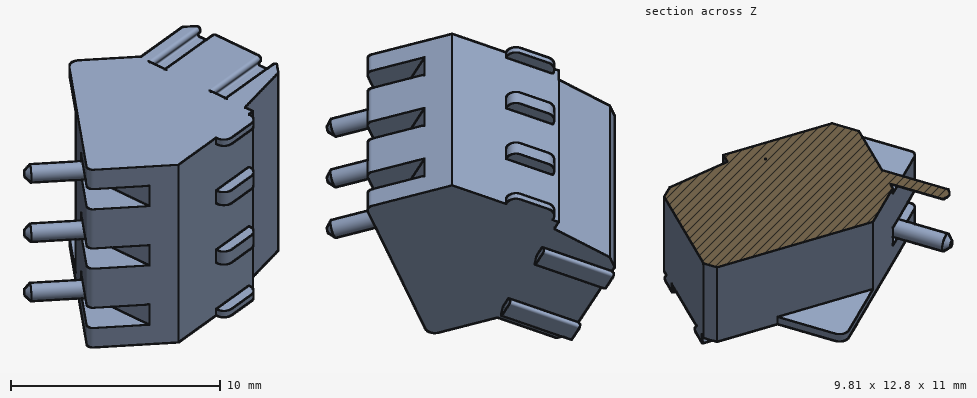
import cadquery as cq
import math


pitch = 3.5
pin_count = 3
height = 10.5
back_y = 3.71
nose_chamfer = 0.5
nose_right_x = 5.93
nose_root_x = 6.48
right_x = 6.98
left_rise_y = 0.08
front_sum = -4.88
right_slope = 12.62
flange_radius = 0.5
front_radius = 0.31
flange_thickness = 0.5
cutter_size = 25.66

rib_out = 0.56
rib_width = 0.77
rib_back_y = -0.32
rib_front_y = -2.8
rib_radius = 0.5

slot_height = 1.19
slot_left_x = 1.76
slot_right_x = 6.07
slot_floor_y = front_sum - slot_left_x
pin_diameter = 0.9
pin_tip_diameter = 0.31
pin_axis_offset = 9.22
pin_end_sum = -8.8
pin_embed = 0.51

key_centres_x = (1.08, 4.82)
key_height = 0.5
key_root_half = 0.32
key_radius = 0.13
groove_depth = 0.56
groove_mouth_half = 0.55
groove_lip_radius = 0.18
groove_radius = 0.08
dovetail_angle = math.radians(30)

half_pitch = pitch / 2
pin_heights = [half_pitch + i * pitch for i in range(pin_count)]


def make_housing():
    """Prism with a chamfered nose, whose left corner remains only as two flanges."""
    flange_corner = ((front_sum - left_rise_y) / 2, (front_sum + left_rise_y) / 2)
    front_corner = ((front_sum + right_slope) / 2, (front_sum - right_slope) / 2)
    outline = [
        (0, left_rise_y),
        (0, back_y - nose_chamfer),
        (nose_chamfer, back_y),
        (nose_right_x - nose_chamfer, back_y),
        (nose_right_x, back_y - nose_chamfer),
        (nose_root_x, 0),
        (right_x, 0),
        (right_x, right_x - right_slope),
        front_corner,
        flange_corner,
    ]
    body = cq.Workplane("XY").polyline(outline).close().extrude(height)
    mid_z = height / 2
    body = body.edges(cq.selectors.NearestToPointSelector((*flange_corner, mid_z))).fillet(flange_radius)
    body = body.edges(cq.selectors.NearestToPointSelector((*front_corner, mid_z))).fillet(front_radius)
    gap = cq.Workplane("XY").box(
        cutter_size, cutter_size, height - 2 * flange_thickness, centered=(False, True, False)
    )
    return body.cut(gap.translate((-cutter_size, 0, flange_thickness)))


def make_rib(low_z, high_z):
    """Rounded rib centred on the right wall plane, so that its inner half sits in the housing."""
    rib = cq.Workplane("XY").box(
        2 * rib_out, rib_back_y - rib_front_y, high_z - low_z, centered=(True, False, False)
    )
    rib = rib.edges("|Z and >X").fillet(rib_radius)
    return rib.translate((right_x, rib_front_y, low_z))


def make_slot(z):
    """Cutter for a slot that opens toward -Y, ending on a flat floor around the pin."""
    slot = cq.Workplane("XY").box(
        slot_right_x - slot_left_x, cutter_size, slot_height, centered=(False, False, True)
    )
    return slot.translate((slot_left_x, slot_floor_y - cutter_size, z))


def make_pin(z):
    """Round pin with a conical tip, at 45 degrees to X and Y and rooted in the slot floor."""
    radius = pin_diameter / 2
    tip_radius = pin_tip_diameter / 2
    cone = radius - tip_radius
    end_x = (pin_end_sum + pin_axis_offset) / 2
    end_y = (pin_end_sum - pin_axis_offset) / 2
    length = (slot_floor_y - end_y) * math.sqrt(2) + pin_embed
    profile = [(0, 0), (tip_radius, 0), (radius, cone), (radius, length), (0, length)]
    plane = cq.Plane(origin=(end_x, end_y, z), xDir=(1, -1, 0), normal=(0, 0, 1))
    return cq.Workplane(plane).polyline(profile).close().revolve(360, (0, 0), (0, 1))


def make_key(centre_x):
    """Dovetail bar hanging below the nose."""
    tip_half = key_root_half + key_height * math.tan(dovetail_angle)
    outline = [
        (-key_root_half, 0),
        (key_root_half, 0),
        (tip_half, -key_height),
        (-tip_half, -key_height),
    ]
    key = cq.Workplane("XZ").polyline(outline).close().extrude(-back_y)
    return key.edges("|Y and <Z").fillet(key_radius).translate((centre_x, 0, 0))


def make_groove(centre_x):
    """Cutter for a dovetail groove in the top of the nose, with rounded lips at its mouth."""
    lip_r = groove_lip_radius

    def lip_point(angle):
        x = groove_mouth_half - lip_r * math.cos(angle)
        z = -lip_r - lip_r * math.sin(angle)
        return x, z

    def mirror(point):
        return -point[0], point[1]

    mouth = (groove_mouth_half, 0)
    neck = lip_point(0)
    lip_end = lip_point(dovetail_angle)
    floor_half = lip_end[0] + (groove_depth + lip_end[1]) * math.tan(dovetail_angle)
    floor_corner = (floor_half, -groove_depth)
    groove = (
        cq.Workplane("XZ")
        .moveTo(*mouth)
        .threePointArc(neck, lip_end)
        .lineTo(*floor_corner)
        .lineTo(*mirror(floor_corner))
        .lineTo(*mirror(lip_end))
        .threePointArc(mirror(neck), mirror(mouth))
        .close()
        .extrude(-back_y)
    )
    return groove.edges("|Y and <Z").fillet(groove_radius).translate((centre_x, 0, height))


result = make_housing()
for i in range(pin_count + 1):
    low = max(i * pitch - rib_width / 2, 0)
    high = min(i * pitch + rib_width / 2, height)
    result = result.union(make_rib(low, high))
for z in pin_heights:
    result = result.cut(make_slot(z)).union(make_pin(z))
for x in key_centres_x:
    result = result.union(make_key(x))
    result = result.cut(make_groove(x))